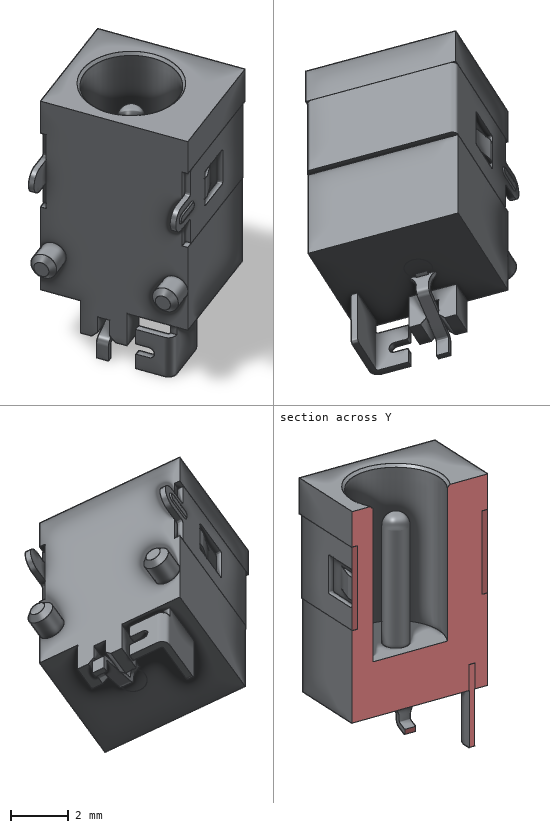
import cadquery as cq
import math


HOUSING_WIDTH = 5.7
HOUSING_DEPTH = 4.75
HOUSING_HEIGHT = 8.2
CONTACT_DROP = 2.2

BORE_X = -0.41
BORE_Y = 2.3
BORE_RADIUS = 1.8
BORE_CHAMFER = 0.1
BORE_DEPTH = 6.03

POST_RADIUS = 0.5
POST_LENGTH = 1.0
POST_CHAMFER = 0.21
POST_Z = 1.7

TAB_WIDTH = 1.8
TAB_DEPTH = 1.0
TAB_DROP = 1.4
NOTCH_FLARE = 0.23
SHOULDER_DROP = 0.5

CLIP_THICKNESS = 0.22
CLIP_HEIGHT = 3.2
CLIP_TOP_GAP = 1.39
CLIP_CORNER = 0.1
EAR_WIDTH = 1.0
EAR_REACH = 1.0
WINDOW_SIZE = 1.5
WINDOW_Y = 2.15
WINDOW_CORNER = 0.08

LATCH_HEIGHT = 0.89
LATCH_LENGTH = 0.99
LATCH_FLAT = 0.22

DIMPLE_RISE = 0.05
DIMPLE_WIDTH = 0.41
DIMPLE_BACK = 0.48
DIMPLE_FRONT = -0.71

PIN_RADIUS = 0.5
PIN_TIP_DEPTH = 1.0
TAIL_WIDTH = 0.47
TAIL_THICKNESS = 0.2
TAIL_SLOPE = 22
TAIL_UPPER_Y = 1.74
TAIL_UPPER_DROP = 0.65
TAIL_INNER_BEND = 0.1
TAIL_ROOT_FLARE = 0.12
TAIL_ROOT_RISE = 0.06

CONTACT_FRONT_Y = -0.1
TERMINAL_THICKNESS = 0.25
TERMINAL_OUTER_X = 2.32
TERMINAL_TIP_X = 0.87
TERMINAL_BACK_Y = 1.89
TERMINAL_BEND = 0.32
TERMINAL_CORNER = 0.15
TERMINAL_INSERT = 1.0
WIRE_SLOT_WIDTH = 0.44
WIRE_SLOT_DEPTH = 0.73
WIRE_SLOT_MOUTH = 0.05

HALF_WIDTH = HOUSING_WIDTH / 2
CLIP_TOP_Z = HOUSING_HEIGHT - CLIP_TOP_GAP
CLIP_BOTTOM_Z = CLIP_TOP_Z - CLIP_HEIGHT
CLIP_MID_Z = (CLIP_TOP_Z + CLIP_BOTTOM_Z) / 2
CLIP_INNER_X = HALF_WIDTH - CLIP_THICKNESS
REAR_STEP_Y = HOUSING_DEPTH - CLIP_THICKNESS
POST_X = HALF_WIDTH - POST_RADIUS
WINDOW_FRONT_Y = WINDOW_Y - WINDOW_SIZE / 2
TERMINAL_NECK_Y = CONTACT_FRONT_Y + TERMINAL_BEND
PIN_TIP_Z = HOUSING_HEIGHT - PIN_TIP_DEPTH
SIDES = (-1, 1)


def box(x_range, y_range, z_range):
    """Axis-aligned block between the given limits."""
    corner = (x_range[0], y_range[0], z_range[0])
    size = [limits[1] - limits[0] for limits in (x_range, y_range, z_range)]
    return cq.Workplane("XY").box(*size, centered=False).translate(corner)


def latch(side):
    """Ramp on the recessed side wall that catches the front edge of the clip window."""
    wall_x = side * CLIP_INNER_X
    face_x = side * HALF_WIDTH
    return (
        cq.Workplane("XY", origin=(0, 0, CLIP_MID_Z - LATCH_HEIGHT / 2))
        .moveTo(wall_x, WINDOW_FRONT_Y)
        .lineTo(face_x, WINDOW_FRONT_Y)
        .lineTo(face_x, WINDOW_FRONT_Y + LATCH_FLAT)
        .lineTo(wall_x, WINDOW_FRONT_Y + LATCH_LENGTH)
        .close()
        .extrude(LATCH_HEIGHT)
    )


def post(side):
    """Round locating post on the front face, with a chamfered end."""
    return (
        cq.Workplane("XZ", origin=(side * POST_X, 0, POST_Z))
        .circle(POST_RADIUS)
        .extrude(POST_LENGTH)
        .faces("<Y")
        .chamfer(POST_CHAMFER)
    )


def rear_tab():
    """Tab under the housing with a flared slot for the pin tail."""
    tab = box((BORE_X - TAB_WIDTH / 2, BORE_X + TAB_WIDTH / 2), (0, TAB_DEPTH), (-TAB_DROP, 0))
    half_slot = TAIL_WIDTH / 2
    slot = (
        cq.Workplane("XZ", origin=(BORE_X, 0, 0))
        .moveTo(-half_slot, -SHOULDER_DROP)
        .lineTo(half_slot, -SHOULDER_DROP)
        .lineTo(half_slot, NOTCH_FLARE - TAB_DROP)
        .lineTo(half_slot + NOTCH_FLARE, -TAB_DROP)
        .lineTo(-half_slot - NOTCH_FLARE, -TAB_DROP)
        .lineTo(-half_slot, NOTCH_FLARE - TAB_DROP)
        .close()
        .extrude(-TAB_DEPTH)
    )
    return tab.cut(slot)


def plug_bore():
    """Blind round bore, chamfered at its mouth."""
    floor_z = HOUSING_HEIGHT - BORE_DEPTH
    mouth_radius = BORE_RADIUS + BORE_CHAMFER
    return (
        cq.Workplane("XZ", origin=(BORE_X, BORE_Y, 0))
        .moveTo(0, floor_z)
        .lineTo(BORE_RADIUS, floor_z)
        .lineTo(BORE_RADIUS, HOUSING_HEIGHT - BORE_CHAMFER)
        .lineTo(mouth_radius, HOUSING_HEIGHT)
        .lineTo(0, HOUSING_HEIGHT)
        .close()
        .revolve(360, (0, 0), (0, 1))
    )


def make_housing(pin, terminal):
    body = box((-HALF_WIDTH, HALF_WIDTH), (0, HOUSING_DEPTH), (0, HOUSING_HEIGHT))
    body = body.cut(box((-HALF_WIDTH, HALF_WIDTH), (REAR_STEP_Y, HOUSING_DEPTH), (0, CLIP_TOP_Z)))
    for side in SIDES:
        recess_x = sorted((side * CLIP_INNER_X, side * HALF_WIDTH))
        body = body.cut(box(recess_x, (0, HOUSING_DEPTH), (CLIP_BOTTOM_Z, CLIP_TOP_Z)))
        body = body.union(latch(side)).union(post(side))
    body = body.union(rear_tab()).cut(plug_bore())
    return body.cut(pin).cut(terminal)


def clip_band():
    """U-shaped band over the rear face and both sides, with rounded rear corners."""
    outer = (
        box((-HALF_WIDTH, HALF_WIDTH), (CLIP_THICKNESS, HOUSING_DEPTH), (CLIP_BOTTOM_Z, CLIP_TOP_Z))
        .edges("|Z and >Y")
        .fillet(CLIP_THICKNESS)
        .edges("|X and <Y")
        .fillet(CLIP_CORNER)
    )
    inner = box((-CLIP_INNER_X, CLIP_INNER_X), (0, REAR_STEP_Y), (CLIP_BOTTOM_Z, CLIP_TOP_Z))
    return outer.cut(inner)


def ear(side):
    """Rounded solder ear reaching past the front face, filleted into the band's front edge."""
    radius = EAR_WIDTH / 2
    edge_y = CLIP_THICKNESS
    root_z = radius + CLIP_CORNER
    root_y = edge_y - CLIP_CORNER
    return (
        cq.Workplane("YZ", origin=(side * CLIP_INNER_X, 0, CLIP_MID_Z))
        .moveTo(edge_y, -root_z)
        .radiusArc((root_y, -radius), -CLIP_CORNER)
        .lineTo(radius - EAR_REACH, -radius)
        .threePointArc((-EAR_REACH, 0), (radius - EAR_REACH, radius))
        .lineTo(root_y, radius)
        .radiusArc((edge_y, root_z), -CLIP_CORNER)
        .close()
        .extrude(side * CLIP_THICKNESS)
    )


def window(side):
    return (
        cq.Workplane("YZ", origin=(side * CLIP_INNER_X, WINDOW_Y, CLIP_MID_Z))
        .rect(WINDOW_SIZE, WINDOW_SIZE)
        .extrude(side * CLIP_THICKNESS)
        .edges("|X")
        .fillet(WINDOW_CORNER)
    )


def dimple(side):
    """Low bevelled rib along the ear."""
    length = DIMPLE_BACK - DIMPLE_FRONT
    outer_face = ">X" if side > 0 else "<X"
    rib_height = 2 * DIMPLE_RISE
    rib_base_x = HALF_WIDTH - DIMPLE_RISE
    return (
        cq.Workplane("YZ", origin=(side * rib_base_x, (DIMPLE_BACK + DIMPLE_FRONT) / 2, CLIP_MID_Z))
        .slot2D(length, DIMPLE_WIDTH)
        .extrude(side * rib_height)
        .faces(outer_face)
        .chamfer(DIMPLE_RISE)
    )


def make_clip():
    clip = clip_band()
    for side in SIDES:
        clip = clip.union(ear(side)).cut(window(side)).union(dimple(side))
    return clip


def pin_tail():
    """Flat tail: down from the housing, sloping forward through the tab slot, then down again."""
    slope = math.radians(TAIL_SLOPE)
    outer_bend = TAIL_INNER_BEND + TAIL_THICKNESS
    mitre_drop = TAIL_THICKNESS * math.tan((math.pi / 2 - slope) / 2)
    upper_front = (TAIL_UPPER_Y, -TAIL_UPPER_DROP)
    lower_front_z = upper_front[1] - (TAIL_UPPER_Y - CONTACT_FRONT_Y) * math.tan(slope)
    lower_front = (CONTACT_FRONT_Y, lower_front_z)
    upper_rear = (upper_front[0] + TAIL_THICKNESS, upper_front[1] - mitre_drop)
    lower_rear = (lower_front[0] + TAIL_THICKNESS, lower_front[1] - mitre_drop)
    bends = (
        (upper_front, TAIL_INNER_BEND),
        (upper_rear, outer_bend),
        (lower_front, outer_bend),
        (lower_rear, TAIL_INNER_BEND),
    )
    tail = (
        cq.Workplane("YZ", origin=(BORE_X - TAIL_WIDTH / 2, 0, 0))
        .moveTo(upper_front[0], 0)
        .lineTo(*upper_front)
        .lineTo(*lower_front)
        .lineTo(CONTACT_FRONT_Y, -CONTACT_DROP)
        .lineTo(lower_rear[0], -CONTACT_DROP)
        .lineTo(*lower_rear)
        .lineTo(*upper_rear)
        .lineTo(upper_rear[0], 0)
        .close()
        .extrude(TAIL_WIDTH)
    )
    for (corner_y, corner_z), radius in bends:
        near_corner = cq.NearestToPointSelector((BORE_X, corner_y, corner_z))
        tail = tail.edges(near_corner).fillet(radius)
    return tail


def tail_root():
    """Concave flare from the tail width to the pin diameter, plus a small wedge on the rear face."""
    half_tail = TAIL_WIDTH / 2
    growth = PIN_RADIUS - half_tail
    radius = (growth**2 + SHOULDER_DROP**2) / (2 * growth)
    rear_y = TAIL_UPPER_Y + TAIL_THICKNESS
    side_flare = (
        cq.Workplane("XZ", origin=(BORE_X, TAIL_UPPER_Y, 0))
        .moveTo(-PIN_RADIUS, 0)
        .radiusArc((-half_tail, -SHOULDER_DROP), radius)
        .lineTo(half_tail, -SHOULDER_DROP)
        .radiusArc((PIN_RADIUS, 0), radius)
        .close()
        .extrude(-TAIL_THICKNESS)
    )
    rear_wedge = (
        cq.Workplane("YZ", origin=(BORE_X - half_tail, rear_y, 0))
        .lineTo(TAIL_ROOT_FLARE, 0)
        .lineTo(0, -TAIL_ROOT_RISE)
        .close()
        .extrude(TAIL_WIDTH)
    )
    return side_flare.union(rear_wedge)


def make_pin():
    barrel = (
        cq.Workplane("XY", origin=(BORE_X, BORE_Y, 0))
        .circle(PIN_RADIUS)
        .extrude(PIN_TIP_Z - PIN_RADIUS)
    )
    dome = cq.Workplane("XY", origin=(BORE_X, BORE_Y, PIN_TIP_Z - PIN_RADIUS)).sphere(PIN_RADIUS)
    return barrel.union(dome).union(tail_root()).union(pin_tail())


def make_terminal():
    """L-shaped terminal: a side leg entering the housing and a slotted front leg."""
    inner_bend = TERMINAL_BEND - TERMINAL_THICKNESS
    inner_x = TERMINAL_OUTER_X - TERMINAL_THICKNESS
    inner_y = CONTACT_FRONT_Y + TERMINAL_THICKNESS
    leg_height = CONTACT_DROP - SHOULDER_DROP
    legs = (
        cq.Workplane("XY", origin=(0, 0, -CONTACT_DROP))
        .moveTo(TERMINAL_TIP_X, CONTACT_FRONT_Y)
        .lineTo(TERMINAL_OUTER_X - TERMINAL_BEND, CONTACT_FRONT_Y)
        .radiusArc((TERMINAL_OUTER_X, TERMINAL_NECK_Y), -TERMINAL_BEND)
        .lineTo(TERMINAL_OUTER_X, TERMINAL_BACK_Y)
        .lineTo(inner_x, TERMINAL_BACK_Y)
        .lineTo(inner_x, TERMINAL_NECK_Y)
        .radiusArc((inner_x - inner_bend, inner_y), inner_bend)
        .lineTo(TERMINAL_TIP_X, inner_y)
        .close()
        .extrude(leg_height)
        .edges("|X and >Y and <Z")
        .fillet(TERMINAL_CORNER)
    )
    neck = box(
        (inner_x, TERMINAL_OUTER_X),
        (TERMINAL_NECK_Y, TERMINAL_BACK_Y),
        (-SHOULDER_DROP, TERMINAL_INSERT),
    )
    return legs.union(neck).cut(wire_slot())


def wire_slot():
    """Round-ended slot open at the tip of the terminal's front leg, with rounded mouth corners."""
    mid_z = -(SHOULDER_DROP + CONTACT_DROP) / 2
    radius = WIRE_SLOT_WIDTH / 2
    mouth = radius + WIRE_SLOT_MOUTH
    arc_x = WIRE_SLOT_DEPTH - radius
    return (
        cq.Workplane("XZ", origin=(TERMINAL_TIP_X, CONTACT_FRONT_Y, mid_z))
        .moveTo(0, -mouth)
        .radiusArc((WIRE_SLOT_MOUTH, -radius), WIRE_SLOT_MOUTH)
        .lineTo(arc_x, -radius)
        .threePointArc((WIRE_SLOT_DEPTH, 0), (arc_x, radius))
        .lineTo(WIRE_SLOT_MOUTH, radius)
        .radiusArc((0, mouth), WIRE_SLOT_MOUTH)
        .close()
        .extrude(-TERMINAL_THICKNESS)
    )


pin = make_pin()
terminal = make_terminal()
clip = make_clip()
housing = make_housing(pin, terminal)

bodies = (housing, clip, pin, terminal)

result = cq.Compound.makeCompound([body.solids().val() for body in bodies])